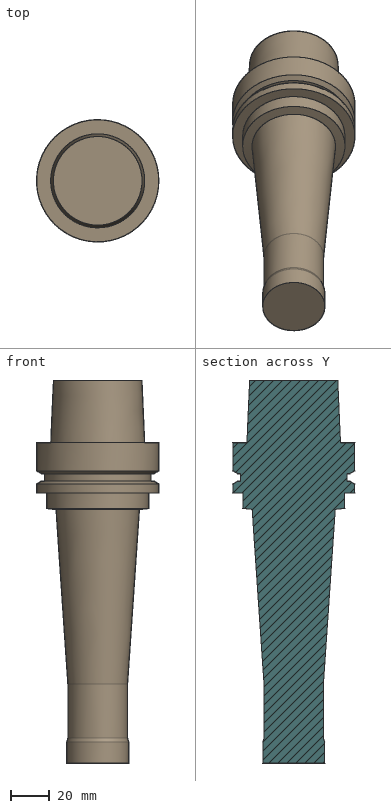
import cadquery as cq
import math


shank_height = 32.0
shank_top_diameter = 45.6
shank_base_diameter = 48.4

flange_diameter = 63.0
flange_bottom = -26.0
groove_top = -14.6
groove_bottom = -21.3
groove_floor_diameter = 55.0
groove_bevel_height = 1.5
groove_bevel_angle = 30.0

collar_diameter = 52.6
collar_bottom = -34.0
collar_underside_drop = 0.5

neck_top_diameter = 43.0
neck_bottom = -124.3
stem_diameter = 30.8
tip_diameter = 32.0
part_bottom = -165.0
tip_height = 11.0
tip_bevel_height = 1.9

groove_bevel_depth = groove_bevel_height / math.tan(math.radians(groove_bevel_angle))
groove_lip_diameter = flange_diameter - 2 * groove_bevel_depth
neck_top = collar_bottom - collar_underside_drop
tip_top = part_bottom + tip_height
stem_bottom = tip_top + tip_bevel_height


def ring(diameter, height):
    """Point of the half section at the given diameter and height."""
    return (diameter / 2, height)


shank_section = [
    (0, shank_height),
    ring(shank_top_diameter, shank_height),
    ring(shank_base_diameter, 0),
]

flange_section = [
    ring(flange_diameter, 0),
    ring(flange_diameter, groove_top),
    ring(groove_lip_diameter, groove_top - groove_bevel_height),
    ring(groove_floor_diameter, groove_top - groove_bevel_height),
    ring(groove_floor_diameter, groove_bottom + groove_bevel_height),
    ring(groove_lip_diameter, groove_bottom + groove_bevel_height),
    ring(flange_diameter, groove_bottom),
    ring(flange_diameter, flange_bottom),
]

collar_section = [
    ring(collar_diameter, flange_bottom),
    ring(collar_diameter, collar_bottom),
    ring(neck_top_diameter, neck_top),
]

stem_section = [
    ring(stem_diameter, neck_bottom),
    ring(stem_diameter, stem_bottom),
    ring(tip_diameter, tip_top),
    ring(tip_diameter, part_bottom),
    (0, part_bottom),
]

half_section = shank_section + flange_section + collar_section + stem_section

result = cq.Workplane("XZ").polyline(half_section).close().revolve(360, (0, 0), (0, 1))